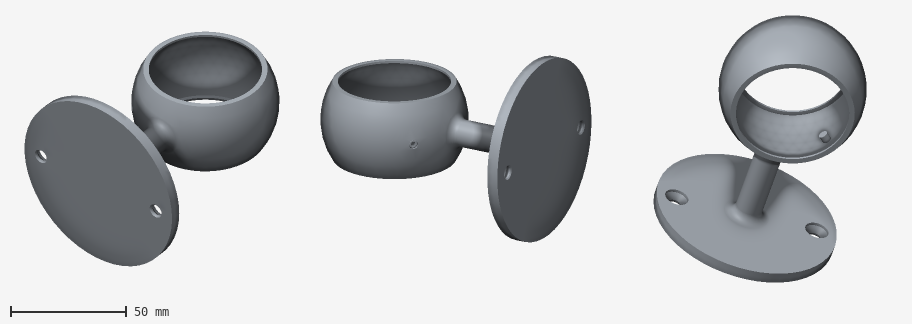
import cadquery as cq
import math

plate_diameter = 81.0
plate_thickness = 5.0
screw_hole_diameter = 5.5
screw_hole_spacing = 63.0
screw_hole_bevel = 0.5
screw_head_diameter = 10.5
screw_head_recess = 1.3

overall_depth = 106.7
ball_radius = 32.0
ball_wall = 1.0
lip_thickness = 1.0
ball_height = 35.0
rail_bore_diameter = 48.9
ball_center_y = overall_depth - ball_radius
ball_center = (0, ball_center_y, 0)
cavity_radius = ball_radius - ball_wall
cavity_height = ball_height - 2 * lip_thickness

post_radius = 12.0 / 2
fillet_radius = 4.0

set_screw_diameter = 4.0
set_screw_length = 4.0
set_screw_rim_diameter = 3.3
set_screw_socket_width = 2.0
set_screw_socket_depth = 2.0
set_screw_angle = math.radians(225)
set_screw_direction = cq.Vector(math.cos(set_screw_angle), math.sin(set_screw_angle), 0)
set_screw_recess = 0.5
set_screw_mouth_distance = math.sqrt(ball_radius**2 - (set_screw_diameter / 2) ** 2)
set_screw_end_distance = set_screw_mouth_distance - set_screw_recess


def make_screw_hole():
    """Hole profile revolved about Y: bevelled mouth, shank bore, cone and recess for a screw head."""
    shank_radius = screw_hole_diameter / 2
    head_radius = screw_head_diameter / 2
    mouth_radius = shank_radius + screw_hole_bevel
    recess_floor_y = plate_thickness - screw_head_recess
    cone_floor_y = recess_floor_y - (head_radius - shank_radius)
    profile = [
        (0, 0),
        (mouth_radius, 0),
        (shank_radius, screw_hole_bevel),
        (shank_radius, cone_floor_y),
        (head_radius, recess_floor_y),
        (head_radius, plate_thickness),
        (0, plate_thickness),
    ]
    return cq.Workplane("XY").polyline(profile).close().revolve(360, (0, 0, 0), (0, 1, 0))


def make_plate():
    """Round plate with a screw hole on each side of the post."""
    plate = cq.Workplane("XZ").circle(plate_diameter / 2).extrude(-plate_thickness)
    for side in (-1, 1):
        plate = plate.cut(make_screw_hole().translate((side * screw_hole_spacing / 2, 0, 0)))
    return plate


def make_post():
    """Post revolved about Y, flaring tangentially into the plate and the ball."""
    flare_center_x = post_radius + fillet_radius
    plate_flare_y = plate_thickness + fillet_radius
    center_distance = ball_radius + fillet_radius
    ball_flare_y = ball_center_y - math.sqrt(center_distance**2 - flare_center_x**2)
    ball_share = ball_radius / center_distance
    ball_touch_x = flare_center_x * ball_share
    ball_touch_y = ball_center_y - (ball_center_y - ball_flare_y) * ball_share
    ball_end_y = ball_center_y - (ball_radius + cavity_radius) / 2
    diagonal = fillet_radius * math.sqrt(0.5)
    mid_angle = (math.pi + math.atan2(ball_touch_y - ball_flare_y, ball_touch_x - flare_center_x)) / 2
    ball_flare_mid = (
        flare_center_x + fillet_radius * math.cos(mid_angle),
        ball_flare_y + fillet_radius * math.sin(mid_angle),
    )
    return (
        cq.Workplane("XY")
        .moveTo(0, plate_thickness)
        .lineTo(flare_center_x, plate_thickness)
        .threePointArc((flare_center_x - diagonal, plate_flare_y - diagonal), (post_radius, plate_flare_y))
        .lineTo(post_radius, ball_flare_y)
        .threePointArc(ball_flare_mid, (ball_touch_x, ball_touch_y))
        .lineTo(0, ball_end_y)
        .close()
        .revolve(360, (0, 0, 0), (0, 1, 0))
    )


def make_flattened_sphere(radius, height):
    """Sphere about the ball's center, cut flat at top and bottom."""
    slab = cq.Workplane("XY").box(2 * radius, 2 * radius, height)
    return cq.Workplane("XY").sphere(radius).intersect(slab).translate(ball_center)


def make_ball_cavity():
    """Spherical hollow with flat ends, opened at top and bottom by the rail bore."""
    hollow = make_flattened_sphere(cavity_radius, cavity_height)
    bore = cq.Workplane("XY").center(0, ball_center_y).circle(rail_bore_diameter / 2)
    return hollow.union(bore.extrude(ball_height / 2, both=True))


def set_screw_workplane(distance):
    """Workplane facing out of the ball along the set screw's axis, its x direction horizontal."""
    sideways = set_screw_direction.cross(cq.Vector(0, 0, 1))
    origin = cq.Vector(*ball_center) + set_screw_direction * distance
    return cq.Workplane(cq.Plane(origin=origin, xDir=sideways, normal=set_screw_direction))


def make_bracket():
    """Plate, post and hollow ball as one piece, drilled for the set screw."""
    hole_circle = set_screw_workplane(ball_radius).circle(set_screw_diameter / 2)
    set_screw_hole = hole_circle.extrude(-2 * set_screw_length)
    ball = make_flattened_sphere(ball_radius, ball_height)
    bracket = make_plate().union(make_post()).union(ball)
    return bracket.cut(make_ball_cavity()).cut(set_screw_hole)


def make_set_screw():
    """Headless screw with a chamfered rim and a hexagonal socket."""
    rim_chamfer = (set_screw_diameter - set_screw_rim_diameter) / 2
    socket_corner_diameter = set_screw_socket_width / math.cos(math.radians(30))
    outer_end = set_screw_workplane(set_screw_end_distance)
    socket = outer_end.polygon(6, socket_corner_diameter).extrude(-set_screw_socket_depth)
    screw = outer_end.circle(set_screw_diameter / 2).extrude(-set_screw_length)
    outer_face = cq.selectors.DirectionMinMaxSelector(set_screw_direction, True)
    return screw.faces(outer_face).chamfer(rim_chamfer).cut(socket)


bracket = make_bracket()
set_screw = make_set_screw()
result = cq.Compound.makeCompound([bracket.solids().val(), set_screw.solids().val()])